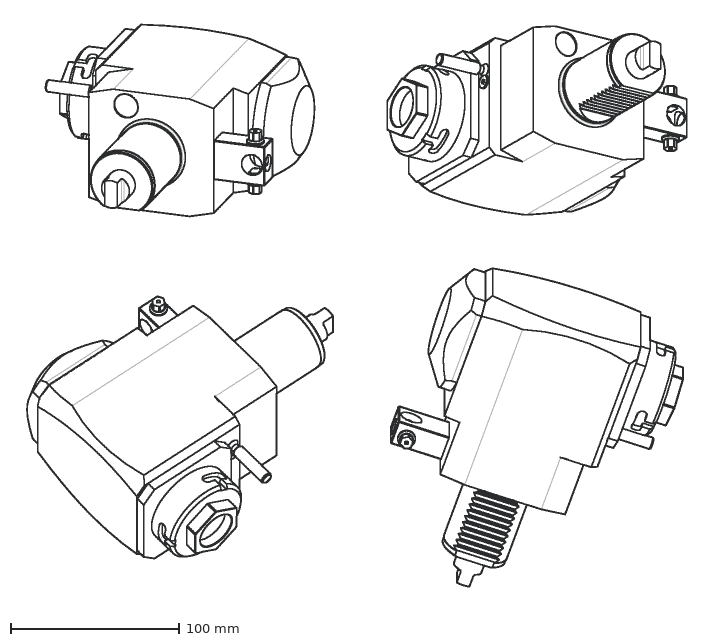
import cadquery as cq
import math

spindle_y = 80.0

half_height = 37.5
housing_left = -47.5
housing_right = 48.8
housing_back = 114.0
step_y = 35.2
foot_half_width = 39.3
left_chamfer = 4.0
taper_start = 24.1
taper_slope = math.tan(math.radians(15))
back_corner_x = 4.0
back_corner_y = 3.0
cone_center = (-9.7, -15.8)
cone_radius = 125.7
plug_center = (-16.0, 27.8)
plug_diameter = 15.0
plug_depth = 1.0

plate_thickness = 6.0
plate_half = 33.5
plate_corner = 8.2
nut_radius = 27.5
nut_length = 19.0
nut_chamfer = 2.0
hex_flats = 32.0
hex_length = 8.0
hex_edge_chamfer = 0.5
hex_face_chamfer = 0.3
hex_bore_diameter = 24.0
hex_bore_depth = 6.5
hex_bore_chamfer = 0.4
slot_from_face = 9.8
slot_width = 5.6
slot_half_angle = 20.0
slot_depth = 2.8
key_slot_width = 5.6
slot_angles = (30, 150, 270)

cap_radius = 37.5
cap_flat = 30.0
cap_back_flat = 29.7
cap_rim_length = 6.9
cap_length = 18.5
cap_end_radius = 20.8

pin_y = 40.5
pin_z = 17.5
pin_radius = 3.6
pin_seat_radius = 4.0
pin_length = 32.5
pin_neck_radius = 2.5
pin_neck_start = 2.0
pin_neck_end = 4.4
pin_shoulder = 5.2
pin_tip_length = 0.8
pin_tip_drop = 0.6
screw_z = 10.1
screw_diameter = 8.0
screw_height = 1.0
screw_socket = 2.5

arm_end = 71.0
arm_front = 1.2
arm_thickness = 15.0
arm_half_height = 12.5
arm_chamfer = 0.5
arm_hole_diameter = 13.0
nozzle_stem_diameter = 9.0
nozzle_stem_end = 5.9
end_bore_diameter = 10.0
nozzle_x = 63.0
nozzle_y = 7.3
nozzle_base_radius = 5.2
nozzle_rim = 0.8
nozzle_base_height = 1.8
nozzle_neck_radius = 4.0
nozzle_flats = 7.0
nozzle_edge_chamfer = 0.4
nozzle_height = 7.0
nozzle_bore_diameter = 2.0
nozzle_bore_depth = 2.0

shank_radius = 20.0
shank_end = 53.3
collar_radius = 21.5
collar_length = 2.2
collar_fillet = 1.0
relief_radius = 19.8
relief_end = 3.9
lead_start = 49.8
lead_radius = 19.7
lead_chamfer = 0.6
rack_level = 15.8
rack_runout_end = 9.1
tooth_pitch = 4.0
tooth_depth = 1.7
tooth_count = 10
first_tooth = 11.6
tang_radius = 8.75
tang_shoulder = 63.8
tang_end = 72.0
tang_width = 8.0
tang_fillet = 1.3


def taper_height(x):
    """Half height of the sloping right side at x."""
    return half_height - taper_slope * (x - taper_start)


def box(x0, x1, y0, y1, z0, z1):
    return cq.Workplane("XY").box(x1 - x0, y1 - y0, z1 - z0, centered=False).translate((x0, y0, z0))


def cylinder_x(radius, x0, x1, y, z=0):
    return cq.Workplane("YZ", origin=(x0, y, z)).circle(radius).extrude(x1 - x0)


def prism_y(half_outline, y0, y1):
    """Extrude along Y an XZ outline given by its upper half and mirrored about Z = 0."""
    lower = [(x, -z) for x, z in reversed(half_outline)]
    return cq.Workplane("XZ", origin=(0, y0, 0)).polyline(half_outline + lower).close().extrude(y0 - y1)


def make_housing():
    right_half = [(taper_start, half_height), (housing_right, taper_height(housing_right))]
    left_half = [
        (housing_left, half_height - left_chamfer),
        (housing_left + left_chamfer, half_height),
    ]
    head = prism_y(left_half + right_half, step_y, housing_back)
    head = head.edges("|Z and >X and >Y").chamfer(back_corner_x, back_corner_y)
    foot_half = [
        (-foot_half_width, taper_height(foot_half_width)),
        (-taper_start, half_height),
        (taper_start, half_height),
        (foot_half_width, taper_height(foot_half_width)),
    ]
    foot = prism_y(foot_half, 0, step_y)
    double_cone = (
        cq.Workplane("XZ")
        .polyline([
            (0, -half_height),
            (cone_radius, -half_height),
            (cone_radius + half_height, 0),
            (cone_radius, half_height),
            (0, half_height),
        ])
        .close()
        .revolve(360, (0, 0, 0), (0, 1, 0))
        .translate((*cone_center, 0))
    )
    plug_recess = (
        cq.Workplane("XZ", origin=(plug_center[0], 0, plug_center[1]))
        .circle(plug_diameter / 2)
        .extrude(-plug_depth)
    )
    return head.union(foot).intersect(double_cone).cut(plug_recess)


def make_plate():
    plate = box(
        housing_left - plate_thickness, housing_left,
        spindle_y - plate_half, spindle_y + plate_half,
        -plate_half, plate_half,
    )
    return plate.edges("|X").chamfer(plate_corner)


def make_nut_slot(face_x):
    """Keyhole cut at the top of a nut on the X axis: an arc slot joined to the face by an axial slot."""
    floor_radius = nut_radius - slot_depth
    cut_radius = nut_radius + slot_depth
    slot_x = face_x + slot_from_face
    end_angle = slot_half_angle - math.degrees(slot_width / 2 / nut_radius)
    slot = (
        cq.Workplane("XY")
        .center(slot_x, cut_radius / 2)
        .rect(slot_width, cut_radius)
        .revolve(2 * end_angle, (-1, -cut_radius / 2, 0), (1, -cut_radius / 2, 0))
        .rotate((0, 0, 0), (1, 0, 0), 90 - end_angle)
    )
    round_end = cq.Workplane("XY", origin=(slot_x, 0, 0)).circle(slot_width / 2).extrude(cut_radius)
    for angle in (-end_angle, end_angle):
        slot = slot.union(round_end.rotate((0, 0, 0), (1, 0, 0), angle))
    key_slot = box(face_x, slot_x, -key_slot_width / 2, key_slot_width / 2, 0, cut_radius)
    core = cylinder_x(floor_radius, face_x, face_x + nut_length, 0)
    return slot.union(key_slot).cut(core)


def make_nut():
    back_x = housing_left - plate_thickness
    face_x = back_x - nut_length
    nut = cylinder_x(nut_radius, face_x, back_x, spindle_y).faces("<X").chamfer(nut_chamfer)
    slot = make_nut_slot(face_x)
    for angle in slot_angles:
        nut = nut.cut(slot.rotate((0, 0, 0), (1, 0, 0), angle).translate((0, spindle_y, 0)))
    hexagon = (
        cq.Workplane("YZ", origin=(face_x, spindle_y, 0))
        .polygon(6, hex_flats, circumscribed=True)
        .extrude(-hex_length)
        .edges("|X")
        .chamfer(hex_edge_chamfer)
        .faces("<X")
        .chamfer(hex_face_chamfer)
    )
    hex_face = face_x - hex_length
    bore = cylinder_x(hex_bore_diameter / 2, hex_face, hex_face + hex_bore_depth, spindle_y)
    bore_mouth = (
        cq.Workplane("YZ", origin=(hex_face, spindle_y, 0))
        .circle(hex_bore_diameter / 2 + hex_bore_chamfer)
        .extrude(hex_bore_chamfer, taper=45)
    )
    return nut.union(hexagon).cut(bore).cut(bore_mouth)


def make_cap():
    profile = [
        (housing_right, 0),
        (housing_right, cap_radius),
        (housing_right + cap_rim_length, cap_radius),
        (housing_right + cap_length, cap_end_radius),
        (housing_right + cap_length, 0),
    ]
    cap = cq.Workplane("XY").polyline(profile).close().revolve(360, (0, 0, 0), (1, 0, 0))
    cap = cap.translate((0, spindle_y, 0))
    cap_end = housing_right + cap_length
    flat_end = taper_start + (half_height - cap_flat) / taper_slope
    envelope_half = [
        (housing_right, cap_flat),
        (flat_end, cap_flat),
        (cap_end, taper_height(cap_end)),
    ]
    return cap.intersect(prism_y(envelope_half, spindle_y - cap_radius, spindle_y + cap_back_flat))


def make_pin():
    tip_radius = pin_radius - pin_tip_drop
    profile = [
        (0, 0),
        (0, pin_seat_radius),
        (-pin_neck_start, pin_neck_radius),
        (-pin_neck_end, pin_neck_radius),
        (-pin_shoulder, pin_radius),
        (pin_tip_length - pin_length, pin_radius),
        (-pin_length, tip_radius),
        (-pin_length, 0),
    ]
    pin = cq.Workplane("XY").polyline(profile).close().revolve(360, (0, 0, 0), (1, 0, 0))
    pin = pin.translate((housing_left, pin_y, pin_z))
    screw_face = housing_left - screw_height
    screw = cylinder_x(screw_diameter / 2, screw_face, housing_left, pin_y, screw_z)
    socket = (
        cq.Workplane("YZ", origin=(screw_face, pin_y, screw_z))
        .polygon(6, screw_socket, circumscribed=True)
        .extrude(screw_height)
    )
    return screw.cut(socket).union(pin)


def make_nozzle():
    """Nozzle pointing up from Z = 0: a tapered base and a hexagon with a small bore."""
    base_profile = [
        (0, 0),
        (nozzle_base_radius, 0),
        (nozzle_base_radius, nozzle_rim),
        (nozzle_neck_radius, nozzle_base_height),
        (0, nozzle_base_height),
    ]
    base = cq.Workplane("XZ").polyline(base_profile).close().revolve(360, (0, 0, 0), (0, 1, 0))
    hexagon = (
        cq.Workplane("XY")
        .polygon(6, nozzle_flats, circumscribed=True)
        .extrude(nozzle_height)
        .edges("|Z")
        .chamfer(nozzle_edge_chamfer)
    )
    bore = (
        cq.Workplane("XY", origin=(0, 0, nozzle_height))
        .circle(nozzle_bore_diameter / 2)
        .extrude(-nozzle_bore_depth)
    )
    return base.union(hexagon).cut(bore)


def make_arm():
    arm = box(
        foot_half_width, arm_end,
        arm_front, arm_front + arm_thickness,
        -arm_half_height, arm_half_height,
    )
    arm = arm.edges("|X or >X").chamfer(arm_chamfer)
    hole = (
        cq.Workplane("XZ", origin=(nozzle_x, arm_front, 0))
        .circle(arm_hole_diameter / 2)
        .extrude(-arm_thickness)
    )
    end_bore = cylinder_x(end_bore_diameter / 2, nozzle_x, arm_end, nozzle_y)
    arm = arm.cut(hole).cut(end_bore)
    stem_length = arm_half_height - nozzle_stem_end
    stem = cq.Workplane("XY").circle(nozzle_stem_diameter / 2).extrude(-stem_length)
    upper = make_nozzle().union(stem).translate((nozzle_x, nozzle_y, arm_half_height))
    return arm.union(upper).union(upper.mirror("XY"))


def make_shank():
    profile = [
        (0, 0),
        (relief_radius, 0),
        (relief_radius, -relief_end),
        (shank_radius, -relief_end),
        (shank_radius, -lead_start),
        (lead_radius, -lead_start),
        (lead_radius, -shank_end + lead_chamfer),
        (lead_radius - lead_chamfer, -shank_end),
        (0, -shank_end),
    ]
    shank = cq.Workplane("XY").polyline(profile).close().revolve(360, (0, 0, 0), (0, 1, 0))
    collar = cq.Workplane("XZ").circle(collar_radius).extrude(collar_length)
    collar = collar.faces("<Y").edges().fillet(collar_fillet)
    return shank.cut(make_rack_cut()).union(collar)


def make_rack_cut():
    """Flat along the underside of the shank with a 45 degree run-out and V notches."""
    runout = collar_radius - rack_level
    points = [(-rack_runout_end + runout, -collar_radius), (-rack_runout_end, -rack_level)]
    for index in range(tooth_count):
        root_y = -first_tooth - index * tooth_pitch
        points.append((root_y + tooth_depth, -rack_level))
        points.append((root_y, -rack_level + tooth_depth))
        points.append((root_y - tooth_depth, -rack_level))
    points += [(-shank_end, -rack_level), (-shank_end, -collar_radius)]
    return cq.Workplane("YZ").polyline(points).close().extrude(collar_radius, both=True)


def make_tang():
    tang = (
        cq.Workplane("XZ", origin=(0, -shank_end, 0))
        .circle(tang_radius)
        .extrude(tang_end - shank_end)
    )
    half = tang_width / 2
    for side in (1, -1):
        cut = box(half, tang_radius, -tang_end, -tang_shoulder, -tang_radius, tang_radius)
        cut = cut.edges("|Z and <X and >Y").fillet(tang_fillet)
        cut = cut if side == 1 else cut.mirror("YZ")
        tang = tang.cut(cut)
    return tang


result = make_housing()
for feature in (make_plate(), make_nut(), make_cap(), make_pin(), make_arm(), make_shank(), make_tang()):
    result = result.union(feature)